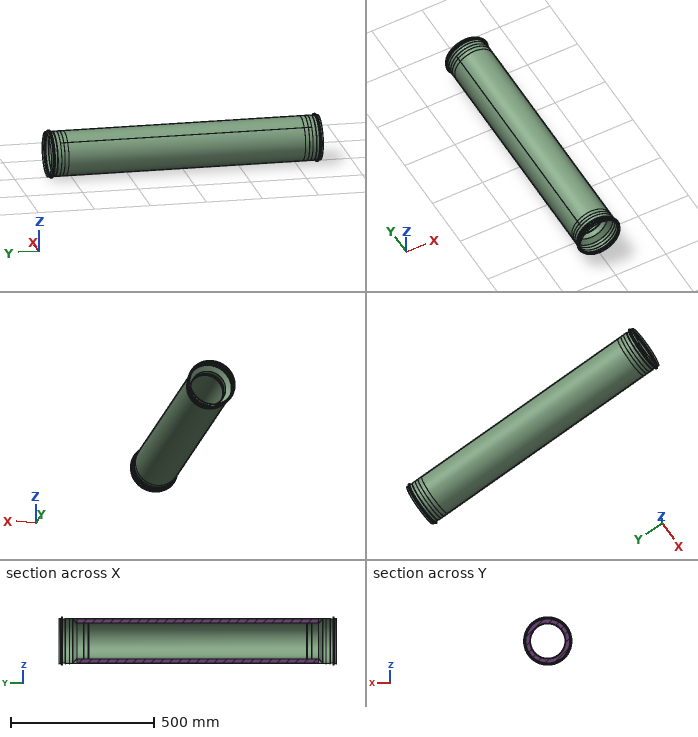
import cadquery as cq

LENGTH = 971.0
SHEET = 0.5

JACKET_DIAMETER = 159.0
COLLAR_NECK_DIAMETER = 156.0
RING_DIAMETER = 169.0
RING_HUB_DIAMETER = 164.0
LINER_DIAMETER = 124.0
LINER_NECK_BORE = 120.0
INSULATION_DIAMETER = 155.0

COLLAR_NECK_START = 8.0
COLLAR_NECK_END = 22.0
RING_START = 10.0
RING_WIDTH = 3.0
RING_HUB_WIDTH = 4.0
JACKET_START = 37.0
FUNNEL_START = 49.0
LINER_START = 63.0
LINER_NECK_START = 86.0

RAMP = 2.0
SEAM_GAP_ANGLE = 0.2
SEAM_ANGLE = 135.0

HALF = LENGTH / 2
JACKET_R = JACKET_DIAMETER / 2
JACKET_BORE_R = JACKET_R - SHEET
COLLAR_NECK_R = COLLAR_NECK_DIAMETER / 2
LINER_R = LINER_DIAMETER / 2
LINER_BORE_R = LINER_R - SHEET
LINER_NECK_R = LINER_NECK_BORE / 2 + SHEET
LINER_NECK_LENGTH = COLLAR_NECK_END - COLLAR_NECK_START
LINER_NECK_END = LINER_NECK_START + RAMP + LINER_NECK_LENGTH


def revolved(points, degrees=360):
    """Solid turned about Y from (radius, y) points."""
    return cq.Workplane("XY").polyline(points).close().revolve(degrees, (0, 0), (0, 1))


def shell_section(outside):
    """Closed section of a sheet whose outer face follows the (radius, y) points."""
    inside = [(radius - SHEET, y) for radius, y in reversed(outside)]
    return outside + inside


def both_ends(body):
    """The body at the -Y end and its mirror image at the +Y end, as separate solids."""
    return [body.val(), body.mirror("XZ").val()]


def make_jacket():
    """Outer shell rolled from one sheet, with a narrow lengthwise gap at its joint."""
    y = HALF - JACKET_START
    rolled = revolved(shell_section([(JACKET_R, -y), (JACKET_R, y)]), 360 - SEAM_GAP_ANGLE)
    return rolled.rotate((0, 0, 0), (0, 1, 0), -SEAM_ANGLE)


def make_liner():
    """Inner shell with a shallow neck near each end."""
    near_end = [
        (LINER_R, LINER_START - HALF),
        (LINER_R, LINER_NECK_START - HALF),
        (LINER_NECK_R, LINER_NECK_START + RAMP - HALF),
        (LINER_NECK_R, LINER_NECK_END - HALF),
        (LINER_R, LINER_NECK_END + RAMP - HALF),
    ]
    far_end = [(radius, -y) for radius, y in reversed(near_end)]
    return revolved(shell_section(near_end + far_end))


def make_insulation():
    """Filling around the liner, between the small ends of the two funnels."""
    y = HALF - LINER_START
    outer = INSULATION_DIAMETER / 2
    return revolved([(LINER_R, -y), (outer, -y), (outer, y), (LINER_R, y)])


def make_collar():
    """End piece of the outer wall: a lip, a neck that carries the ring, and a full-size skirt."""
    outside = [
        (JACKET_R, -HALF),
        (JACKET_R, COLLAR_NECK_START - RAMP - HALF),
        (COLLAR_NECK_R, COLLAR_NECK_START - HALF),
        (COLLAR_NECK_R, COLLAR_NECK_END - HALF),
        (JACKET_R, COLLAR_NECK_END + RAMP - HALF),
        (JACKET_R, JACKET_START - HALF),
    ]
    return revolved(shell_section(outside))


def make_ring():
    """Band around the collar's neck, with a lower hub on its inward side."""
    start = RING_START - HALF
    band_end = start + RING_WIDTH
    hub_end = start + RING_HUB_WIDTH
    band_r = RING_DIAMETER / 2
    hub_r = RING_HUB_DIAMETER / 2
    return revolved(
        [
            (COLLAR_NECK_R, start),
            (band_r, start),
            (band_r, band_end),
            (hub_r, band_end),
            (hub_r, hub_end),
            (COLLAR_NECK_R, hub_end),
        ]
    )


def make_funnel():
    """Cone that closes the gap from the jacket's bore down to the liner."""
    start = FUNNEL_START - HALF
    end = LINER_START - HALF
    return revolved(
        [
            (JACKET_BORE_R, start),
            (JACKET_BORE_R, start + SHEET),
            (LINER_R, end),
            (LINER_BORE_R, end),
        ]
    )


jacket = make_jacket()
liner = make_liner()
insulation = make_insulation()
collars = both_ends(make_collar())
rings = both_ends(make_ring())
funnels = both_ends(make_funnel())

result = cq.Compound.makeCompound(
    [jacket.val(), liner.val(), insulation.val(), *collars, *rings, *funnels]
)